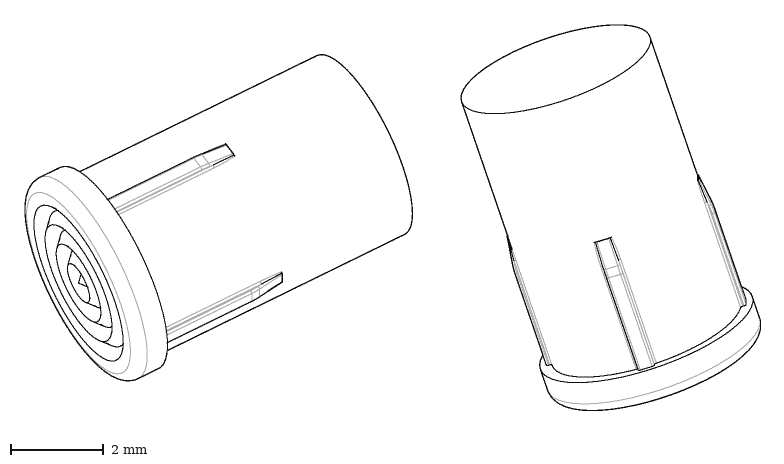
import cadquery as cq
import math

total_length = 7.11
body_radius = 2.15

flange_diameter = 4.83
flange_radius = flange_diameter / 2
flange_length = 0.775
flange_rounding = 0.26

groove_outer_radius = 1.85
groove_count = 4
groove_depth = 0.23

rib_count = 4
rib_top_radius = 2.26
rib_tip_radius = 2.16
rib_half_width = 0.185
rib_rounding = 0.05
rib_ramp_start = 3.09
rib_end = 3.82
ramp_blend_radius = 1.49

rib_root_depth = 0.21
rib_root_radius = body_radius - rib_root_depth
ribbed_body_start = flange_length / 2

surface_tolerance = 0.001


def flange_with_grooved_face():
    """Rounded flange whose front face carries V-grooves around a pointed centre."""
    flank_width = groove_outer_radius / (2 * groove_count)
    profile = cq.Workplane("XY").moveTo(0, 0)
    for index in range(groove_count):
        valley_radius = (2 * index + 1) * flank_width
        profile = profile.lineTo(valley_radius, groove_depth)
        profile = profile.lineTo(valley_radius + flank_width, 0)
    return (
        profile.lineTo(flange_radius - flange_rounding, 0)
        .tangentArcPoint((flange_radius, flange_rounding), relative=False)
        .lineTo(flange_radius, flange_length)
        .lineTo(0, flange_length)
        .close()
        .revolve(360, (0, 0, 0), (0, 1, 0))
    )


def rib():
    """Rib on the +Z side: level top, then a ramp down almost to the body surface."""
    blank = (
        cq.Workplane("YZ")
        .moveTo(ribbed_body_start, rib_root_radius)
        .lineTo(ribbed_body_start, rib_top_radius)
        .lineTo(rib_ramp_start, rib_top_radius)
        .lineTo(rib_end, rib_tip_radius)
        .lineTo(rib_end, rib_root_radius)
        .close()
        .extrude(rib_half_width, both=True)
    )
    ramp_corner = cq.NearestToPointSelector((0, rib_ramp_start, rib_top_radius))
    blended = blank.edges(ramp_corner).fillet(ramp_blend_radius)
    return blended.faces(">Z").edges("|Y").fillet(rib_rounding)


def is_rib_foot(edge):
    """True for a lengthwise edge where a rib flank meets the body surface."""
    middle = edge.Center()
    on_body_surface = math.isclose(math.hypot(middle.x, middle.z), body_radius, abs_tol=surface_tolerance)
    return on_body_surface and middle.y < rib_end


def ribbed_body():
    """Plain cylinder with the ribs blended into it."""
    start_plane = cq.Workplane("XZ", origin=(0, ribbed_body_start, 0))
    body = start_plane.circle(body_radius).extrude(ribbed_body_start - total_length)
    for index in range(rib_count):
        body = body.union(rib().rotate((0, 0, 0), (0, 1, 0), index * 360 / rib_count))
    return body.edges("|Y").filter(is_rib_foot).fillet(rib_rounding)


result = ribbed_body().union(flange_with_grooved_face())